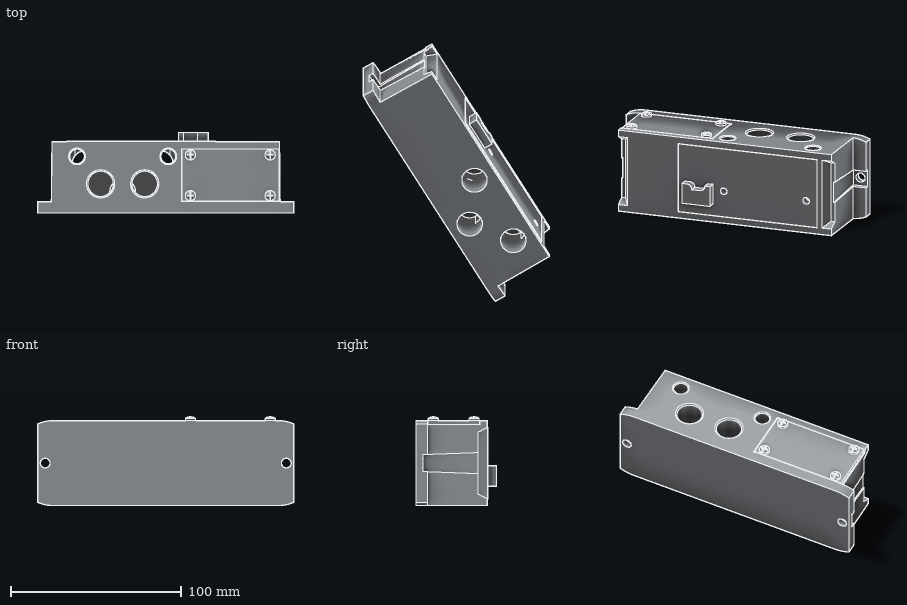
import cadquery as cq

length = 150.6
height = 50.0
depth = 42.0
flange_thickness = 6.8
end_flat_half = 66.1
corner_drop = 2.0
mid_z = height / 2
overlap = 1.5

body_half_front = 67.3
body_half_rear = 66.9

mount_hole_x = 70.8
mount_hole_diameter = 5.5
groove_floor_x = 66.3
groove_front_y = 4.0
groove_front_width = 10.0
groove_rear_width = 12.3

recess_depth_y = 5.5
recess_step_x = 2.4
recess_slope_x = 3.3
recess_rear_width = 41.9
recess_front_width = 36.1

port_center_x = -25.3
small_port_diameter = 8.6
small_port_offset = 26.8
small_port_y = 33.3
large_port_diameter = 14.9
large_port_offset = 13.0
large_port_y = 17.2
small_port_chamfer = 0.6
large_port_chamfer = 0.83
port_depth = 30.1
lower_port_offset = 22.1
lower_side_port_y = 29.0
lower_mid_port_y = 12.5
cross_drill_diameter = 4.0
cross_drill_offset = 25.9

cover_pocket_left = 9.2
cover_pocket_front = 6.8
cover_pocket_rear = 37.6
cover_left = 9.6
cover_right = 66.4
cover_front = 7.1
cover_rear = 37.5
cover_thickness = 2.3

screw_head_diameter = 6.0
screw_rim_height = 1.2
screw_head_height = 2.3
screw_slot_width = 0.5
screw_slot_depth = 0.9
screw_cross_length = 3.6
screw_x = (14.5, 61.3)
screw_y = (10.2, 34.2)

label_left = -58.0
label_right = 29.2
label_height = 41.9
label_thickness = 0.5
knob_left = 7.4
knob_width = 17.6
knob_bottom = 11.3
knob_height = 12.2
knob_rear_y = 47.5
knob_step = 3.2


def box(x0, x1, y0, y1, z0, z1):
    return cq.Workplane("XY").box(x1 - x0, y1 - y0, z1 - z0, centered=False).translate((x0, y0, z0))


def cylinder_z(x, y, z, diameter, depth_z):
    return cq.Workplane("XY", origin=(x, y, z)).circle(diameter / 2).extrude(depth_z)


def mirrored_pair(shape):
    return shape.union(shape.mirror("YZ"))


def end_profile(depth_y):
    """Rectangle in XZ whose corners fall away in arcs tangent to the long edges."""
    half = length / 2
    run = half - end_flat_half
    radius = (run**2 + corner_drop**2) / (2 * corner_drop)
    high = height - corner_drop
    return (
        cq.Workplane("XZ")
        .moveTo(-end_flat_half, 0)
        .lineTo(end_flat_half, 0)
        .radiusArc((half, corner_drop), -radius)
        .lineTo(half, high)
        .radiusArc((end_flat_half, height), -radius)
        .lineTo(-end_flat_half, height)
        .radiusArc((-half, high), -radius)
        .lineTo(-half, corner_drop)
        .radiusArc((-end_flat_half, 0), -radius)
        .close()
        .extrude(-depth_y)
    )


def housing():
    tapered_block = (
        cq.Workplane("XY")
        .polyline([
            (-body_half_front, 0),
            (body_half_front, 0),
            (body_half_rear, depth),
            (-body_half_rear, depth),
        ])
        .close()
        .extrude(height)
    )
    return end_profile(flange_thickness).union(end_profile(depth).intersect(tapered_block))


def centered_taper(y0, width0, y1, width1, x0, x1):
    """Trapezoid in YZ, symmetric about mid height, swept from x0 to x1."""
    return (
        cq.Workplane("YZ", origin=(x0, 0, mid_z))
        .polyline([
            (y0, -width0 / 2),
            (y1, -width1 / 2),
            (y1, width1 / 2),
            (y0, width0 / 2),
        ])
        .close()
        .extrude(x1 - x0)
    )


def end_groove():
    return centered_taper(
        groove_front_y, groove_front_width,
        depth - recess_depth_y, groove_rear_width,
        groove_floor_x, length / 2,
    )


def end_recess():
    outer_x = body_half_front
    step_x = body_half_rear - recess_step_x
    inner_x = step_x - recess_slope_x
    front_y = depth - recess_depth_y
    wedge = (
        cq.Workplane("XY")
        .polyline([
            (inner_x, depth),
            (step_x, front_y),
            (outer_x, front_y),
            (outer_x, depth),
        ])
        .close()
        .extrude(height)
    )
    sides = centered_taper(front_y, recess_front_width, depth, recess_rear_width, inner_x, outer_x)
    return wedge.intersect(sides)


def mount_hole():
    return (
        cq.Workplane("XZ", origin=(mount_hole_x, 0, mid_z))
        .circle(mount_hole_diameter / 2)
        .extrude(-flange_thickness)
    )


def top_port(x, y, diameter, chamfer):
    radius = diameter / 2
    bore = cylinder_z(x, y, height - port_depth, diameter, port_depth)
    mouth = cq.Solid.makeCone(
        radius, radius + chamfer, chamfer, cq.Vector(x, y, height - chamfer)
    )
    return bore.union(cq.Workplane(mouth))


def cross_drill(x):
    """Drilling from the rear face, level with the floor of a small port."""
    drill_length = depth + label_thickness - small_port_y
    return (
        cq.Workplane("XZ", origin=(x, small_port_y, height - port_depth))
        .circle(cross_drill_diameter / 2)
        .extrude(-drill_length)
    )


def cover_gap():
    bottom = height - cover_thickness
    pocket = box(
        cover_pocket_left, length / 2, cover_pocket_front, cover_pocket_rear, bottom, height + overlap
    )
    cover = box(cover_left, cover_right, cover_front, cover_rear, bottom, height + overlap)
    return pocket.cut(cover)


def cover_screw(x, y):
    """Round head with a spherical dome, a full slot along Y and a shorter one along X."""
    rim = screw_head_diameter / 2
    dome_height = screw_head_height - screw_rim_height
    dome_radius = (rim**2 + dome_height**2) / (2 * dome_height)
    head = (
        cq.Workplane("XZ")
        .lineTo(rim, 0)
        .lineTo(rim, screw_rim_height)
        .radiusArc((0, screw_head_height), -dome_radius)
        .close()
        .revolve(360, (0, 0, 0), (0, 1, 0))
    )
    slot_plane = cq.Workplane("XY", origin=(0, 0, screw_head_height - screw_slot_depth))
    full_slot = slot_plane.rect(screw_slot_width, screw_head_diameter).extrude(screw_slot_depth)
    cross_slot = slot_plane.rect(screw_cross_length, screw_slot_width).extrude(screw_slot_depth)
    return head.cut(full_slot).cut(cross_slot).translate((x, y, height))


def label():
    return box(
        label_left, label_right, depth, depth + label_thickness,
        mid_z - label_height / 2, mid_z + label_height / 2,
    )


def knob():
    """Bar with a fillet on one side of the raised left shoulder and a rounded right shoulder."""
    right = knob_left + knob_width
    top = knob_bottom + knob_height
    low = top - knob_step
    left_shoulder = knob_left + knob_step
    right_shoulder = right - knob_step
    return (
        cq.Workplane("XZ", origin=(0, depth, 0))
        .moveTo(knob_left, knob_bottom)
        .lineTo(right, knob_bottom)
        .lineTo(right, top)
        .lineTo(right_shoulder, top)
        .radiusArc((right_shoulder - knob_step, low), -knob_step)
        .lineTo(left_shoulder + knob_step, low)
        .radiusArc((left_shoulder, top), knob_step)
        .lineTo(knob_left, top)
        .close()
        .extrude(depth - knob_rear_y)
    )


result = housing().union(label()).union(knob())
result = result.cut(mirrored_pair(end_groove()))
result = result.cut(mirrored_pair(end_recess()))
result = result.cut(mirrored_pair(mount_hole()))
result = result.cut(cover_gap())

for side in (-1, 1):
    small_x = port_center_x + side * small_port_offset
    large_x = port_center_x + side * large_port_offset
    lower_x = port_center_x + side * lower_port_offset
    drill_x = port_center_x + side * cross_drill_offset
    result = result.cut(top_port(small_x, small_port_y, small_port_diameter, small_port_chamfer))
    result = result.cut(top_port(large_x, large_port_y, large_port_diameter, large_port_chamfer))
    result = result.cut(cylinder_z(lower_x, lower_side_port_y, 0, large_port_diameter, port_depth))
    result = result.cut(cross_drill(drill_x))

result = result.cut(cylinder_z(port_center_x, lower_mid_port_y, 0, large_port_diameter, port_depth))

for x in screw_x:
    for y in screw_y:
        result = result.union(cover_screw(x, y))